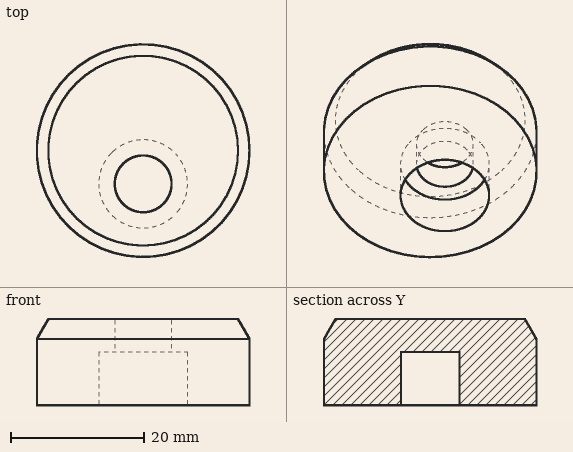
import cadquery as cq
import math

diameter = 32
height = 13.0
bevel_height = 3.0
bevel_angle = 30
bevel_width = bevel_height * math.tan(math.radians(bevel_angle))

hole_diameter = 8.5
hole_offset = 5.0
counterbore_diameter = 13.3
hole_neck_length = 5.0
counterbore_depth = height - hole_neck_length


def bevelled_body():
    """Revolve the half section about Z."""
    radius = diameter / 2
    return (
        cq.Workplane("XZ")
        .polyline([
            (0, 0),
            (radius, 0),
            (radius, height - bevel_height),
            (radius - bevel_width, height),
            (0, height),
        ])
        .close()
        .revolve(360, (0, 0), (0, 1))
    )


def bore(bore_diameter, depth):
    """Cylinder rising from the underside on the hole axis."""
    return cq.Workplane("XY").center(0, -hole_offset).circle(bore_diameter / 2).extrude(depth)


result = (
    bevelled_body()
    .cut(bore(hole_diameter, height))
    .cut(bore(counterbore_diameter, counterbore_depth))
)